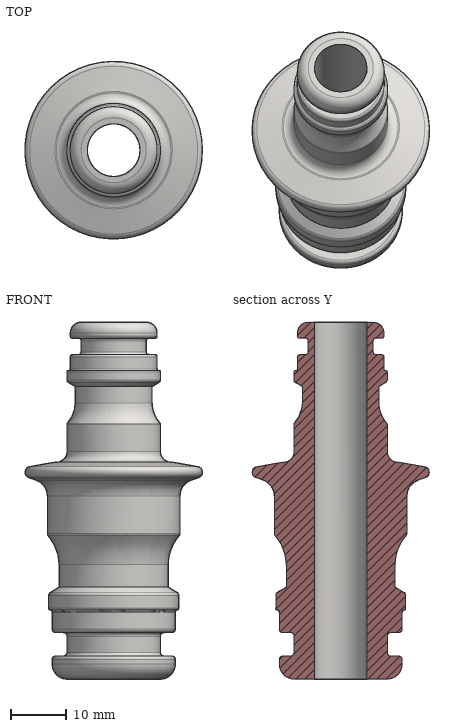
import cadquery as cq
import math

TOTAL_HEIGHT = 64.82
BORE_RADIUS = 9.5 / 2

FOOT_RADIUS = 22.4 / 2
FOOT_TOP = 4.25
FOOT_NOSE_ROUND = 2.8
LOWER_GROOVE_RADIUS = 17.0 / 2
LOWER_GROOVE_TOP = 8.45
LOWER_GROOVE_ROUND = 0.65
LOWER_COLLAR_RADIUS = 23.65 / 2
LOWER_COLLAR_BOTTOM = 12.58
LOWER_COLLAR_CREST_ROUND = 0.7
LOWER_STEP_ROUND = 0.33
LOWER_WAIST_RADIUS = 19.85 / 2
LOWER_WAIST_BOTTOM = 16.75
LOWER_FLARE_START = 20.8
LOWER_FLARE_RADIUS = 8.0
LOWER_FLARE_EDGE_ROUND = 0.6
BODY_RADIUS = 24.1 / 2

FLANGE_RADIUS = 32.24 / 2
FLANGE_RIM_CENTRE = 37.57
FLANGE_RIM_ROUND = 1.05
FLANGE_TOP_ANGLE = math.radians(10)
FLANGE_UNDERSIDE_ANGLE = math.radians(19)
FLANGE_UNDERSIDE_FILLET = 3.0
FLANGE_SHOULDER_RADIUS = 21.3 / 2
FLANGE_ROOT_FILLET = 1.9

LIP_RADIUS = 15.8 / 2
LIP_BOTTOM = 61.85
LIP_NOSE_ROUND = 2.0
UPPER_GROOVE_RADIUS = 11.9 / 2
UPPER_GROOVE_BOTTOM = 58.94
UPPER_GROOVE_ROUND = 0.45
UPPER_COLLAR_RADIUS = 17.0 / 2
UPPER_COLLAR_TOP = 56.05
UPPER_COLLAR_CREST_ROUND = 0.55
UPPER_STEP_ROUND = 0.29
UPPER_WAIST_RADIUS = 14.0 / 2
UPPER_WAIST_TOP = 53.1
UPPER_FLARE_START = 50.15
UPPER_FLARE_RADIUS = 5.5
UPPER_FLARE_EDGE_ROUND = 0.3
STEM_RADIUS = UPPER_COLLAR_RADIUS

COLLAR_CONE_ANGLE = math.radians(32)

lower_cone_drop = (LOWER_COLLAR_RADIUS - LOWER_WAIST_RADIUS) * math.tan(COLLAR_CONE_ANGLE)
upper_cone_drop = (UPPER_COLLAR_RADIUS - UPPER_WAIST_RADIUS) * math.tan(COLLAR_CONE_ANGLE)
lower_collar_top = LOWER_WAIST_BOTTOM - lower_cone_drop
upper_collar_bottom = UPPER_WAIST_TOP + upper_cone_drop

rim_centre_radius = FLANGE_RADIUS - FLANGE_RIM_ROUND
rim_top_point = (
    rim_centre_radius + FLANGE_RIM_ROUND * math.sin(FLANGE_TOP_ANGLE),
    FLANGE_RIM_CENTRE + FLANGE_RIM_ROUND * math.cos(FLANGE_TOP_ANGLE),
)
rim_bottom_point = (
    rim_centre_radius + FLANGE_RIM_ROUND * math.sin(FLANGE_UNDERSIDE_ANGLE),
    FLANGE_RIM_CENTRE - FLANGE_RIM_ROUND * math.cos(FLANGE_UNDERSIDE_ANGLE),
)
shoulder_height = rim_top_point[1] + (rim_top_point[0] - FLANGE_SHOULDER_RADIUS) * math.tan(FLANGE_TOP_ANGLE)
underside_root = rim_bottom_point[1] - (rim_bottom_point[0] - BODY_RADIUS) * math.tan(FLANGE_UNDERSIDE_ANGLE)


def flare_radius_at(waist_radius, flare_radius, height):
    """Radius of a concave flare at a height measured from its tangent start on the waist."""
    return waist_radius + flare_radius - math.sqrt(flare_radius**2 - height**2)


def flare_length(waist_radius, flare_radius, end_radius):
    """Axial length a concave flare needs to grow from the waist to the end radius."""
    return math.sqrt(flare_radius**2 - (flare_radius - (end_radius - waist_radius)) ** 2)


lower_flare_length = flare_length(LOWER_WAIST_RADIUS, LOWER_FLARE_RADIUS, BODY_RADIUS)
upper_flare_length = flare_length(UPPER_WAIST_RADIUS, UPPER_FLARE_RADIUS, STEM_RADIUS)
body_bottom = LOWER_FLARE_START + lower_flare_length
stem_top = UPPER_FLARE_START - upper_flare_length


def turned_body():
    """Revolve the outline, its corners still sharp except at the flange rim, around Z."""
    lower_flare_middle = (
        flare_radius_at(LOWER_WAIST_RADIUS, LOWER_FLARE_RADIUS, lower_flare_length / 2),
        LOWER_FLARE_START + lower_flare_length / 2,
    )
    upper_flare_middle = (
        flare_radius_at(UPPER_WAIST_RADIUS, UPPER_FLARE_RADIUS, upper_flare_length / 2),
        UPPER_FLARE_START - upper_flare_length / 2,
    )
    outline = (
        cq.Workplane("XZ")
        .moveTo(BORE_RADIUS, 0)
        .lineTo(FOOT_RADIUS, 0)
        .lineTo(FOOT_RADIUS, FOOT_TOP)
        .lineTo(LOWER_GROOVE_RADIUS, FOOT_TOP)
        .lineTo(LOWER_GROOVE_RADIUS, LOWER_GROOVE_TOP)
        .lineTo(FOOT_RADIUS, LOWER_GROOVE_TOP)
        .lineTo(FOOT_RADIUS, LOWER_COLLAR_BOTTOM)
        .lineTo(LOWER_COLLAR_RADIUS, LOWER_COLLAR_BOTTOM)
        .lineTo(LOWER_COLLAR_RADIUS, lower_collar_top)
        .lineTo(LOWER_WAIST_RADIUS, LOWER_WAIST_BOTTOM)
        .lineTo(LOWER_WAIST_RADIUS, LOWER_FLARE_START)
        .threePointArc(lower_flare_middle, (BODY_RADIUS, body_bottom))
        .lineTo(BODY_RADIUS, underside_root)
        .lineTo(*rim_bottom_point)
        .threePointArc((FLANGE_RADIUS, FLANGE_RIM_CENTRE), rim_top_point)
        .lineTo(FLANGE_SHOULDER_RADIUS, shoulder_height)
        .lineTo(STEM_RADIUS, shoulder_height)
        .lineTo(STEM_RADIUS, stem_top)
        .threePointArc(upper_flare_middle, (UPPER_WAIST_RADIUS, UPPER_FLARE_START))
        .lineTo(UPPER_WAIST_RADIUS, UPPER_WAIST_TOP)
        .lineTo(UPPER_COLLAR_RADIUS, upper_collar_bottom)
        .lineTo(UPPER_COLLAR_RADIUS, UPPER_COLLAR_TOP)
        .lineTo(LIP_RADIUS, UPPER_COLLAR_TOP)
        .lineTo(LIP_RADIUS, UPPER_GROOVE_BOTTOM)
        .lineTo(UPPER_GROOVE_RADIUS, UPPER_GROOVE_BOTTOM)
        .lineTo(UPPER_GROOVE_RADIUS, LIP_BOTTOM)
        .lineTo(LIP_RADIUS, LIP_BOTTOM)
        .lineTo(LIP_RADIUS, TOTAL_HEIGHT)
        .lineTo(BORE_RADIUS, TOTAL_HEIGHT)
        .close()
    )
    return outline.revolve(360, (0, 0, 0), (0, 1, 0))


def round_corner(body, corner_radius, height, fillet_radius):
    """Fillet the circular edge that has the given radius and height."""
    tolerance = 1e-3
    corner = [
        edge
        for edge in body.edges("%CIRCLE").vals()
        if abs(edge.radius() - corner_radius) < tolerance and abs(edge.Center().z - height) < tolerance
    ]
    return body.newObject(corner).fillet(fillet_radius)


ROUNDED_CORNERS = [
    (FOOT_RADIUS, 0, FOOT_NOSE_ROUND),
    (FOOT_RADIUS, FOOT_TOP, LOWER_GROOVE_ROUND),
    (LOWER_GROOVE_RADIUS, FOOT_TOP, LOWER_GROOVE_ROUND),
    (LOWER_GROOVE_RADIUS, LOWER_GROOVE_TOP, LOWER_GROOVE_ROUND),
    (FOOT_RADIUS, LOWER_GROOVE_TOP, LOWER_GROOVE_ROUND),
    (FOOT_RADIUS, LOWER_COLLAR_BOTTOM, LOWER_STEP_ROUND),
    (LOWER_COLLAR_RADIUS, LOWER_COLLAR_BOTTOM, LOWER_STEP_ROUND),
    (LOWER_COLLAR_RADIUS, lower_collar_top, LOWER_COLLAR_CREST_ROUND),
    (BODY_RADIUS, body_bottom, LOWER_FLARE_EDGE_ROUND),
    (BODY_RADIUS, underside_root, FLANGE_UNDERSIDE_FILLET),
    (STEM_RADIUS, shoulder_height, FLANGE_ROOT_FILLET),
    (STEM_RADIUS, stem_top, UPPER_FLARE_EDGE_ROUND),
    (UPPER_COLLAR_RADIUS, upper_collar_bottom, UPPER_COLLAR_CREST_ROUND),
    (UPPER_COLLAR_RADIUS, UPPER_COLLAR_TOP, UPPER_STEP_ROUND),
    (LIP_RADIUS, UPPER_COLLAR_TOP, UPPER_STEP_ROUND),
    (LIP_RADIUS, UPPER_GROOVE_BOTTOM, UPPER_GROOVE_ROUND),
    (UPPER_GROOVE_RADIUS, UPPER_GROOVE_BOTTOM, UPPER_GROOVE_ROUND),
    (UPPER_GROOVE_RADIUS, LIP_BOTTOM, UPPER_GROOVE_ROUND),
    (LIP_RADIUS, LIP_BOTTOM, UPPER_GROOVE_ROUND),
    (LIP_RADIUS, TOTAL_HEIGHT, LIP_NOSE_ROUND),
]

result = turned_body()
for corner_radius, height, fillet_radius in ROUNDED_CORNERS:
    result = round_corner(result, corner_radius, height, fillet_radius)